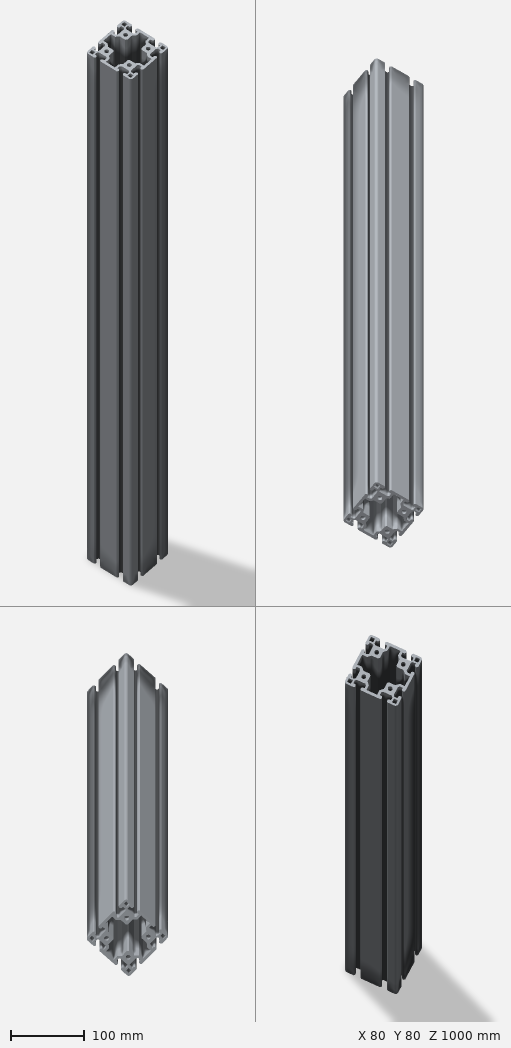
import cadquery as cq

width = 80.0
length = 1000.0
half = width / 2
corner_radius = 4.0

slot_offset = 20.0
slot_opening = 8.0
slot_inner_width = 17.0
slot_floor_chamfer = 2.0
lip_thickness = 5.0
slot_cavity_depth = 6.5
slot_depth = lip_thickness + slot_cavity_depth
lip_chamfer = 1.5

core_hole_diameter = 6.7
core_half_width = 7.5
core_inner_face = slot_offset - core_half_width
core_corner_chamfer = 2.0

wall_thickness = 4.0
channel_half_width = 8.0
corner_hollow_size = 6.0
corner_hollow_offset = 34.0


def turned(body, turn):
    """Body turned about the long axis by a number of quarter turns."""
    return body.rotate((0, 0, 0), (0, 0, 1), 90 * turn)


def prism(points):
    """Full-length bar with the given outline."""
    return cq.Workplane("XY").polyline(points).close().extrude(length)


def t_slot(x_center):
    """T-slot cutter opening on the +Y side, with bevelled lips and floor corners."""
    floor = half - slot_depth
    lip_underside = half - lip_thickness
    throat = slot_opening / 2
    inner = slot_inner_width / 2
    right_side = [
        (throat + lip_chamfer, half),
        (throat, half - lip_chamfer),
        (throat, lip_underside + lip_chamfer),
        (throat + lip_chamfer, lip_underside),
        (inner, lip_underside),
        (inner, floor + slot_floor_chamfer),
        (inner - slot_floor_chamfer, floor),
    ]
    left_side = [(-x, y) for x, y in reversed(right_side)]
    return prism([(x_center + x, y) for x, y in right_side + left_side])


def central_hollow():
    """Cross-shaped hollow reaching the four outer walls, waisted between the screw cores."""
    reach = half - wall_thickness
    core_shoulder = half - slot_depth - (core_inner_face - channel_half_width)
    quarter = prism(
        [
            (0, 0),
            (0, reach),
            (channel_half_width, reach),
            (channel_half_width, half - slot_depth),
            (core_inner_face, core_shoulder),
            (core_inner_face, core_inner_face + core_corner_chamfer),
            (core_inner_face + core_corner_chamfer, core_inner_face),
            (core_shoulder, core_inner_face),
            (half - slot_depth, channel_half_width),
            (reach, channel_half_width),
            (reach, 0),
        ]
    )
    hollow = quarter
    for turn in range(1, 4):
        hollow = hollow.union(turned(quarter, turn))
    return hollow


def at_corners(offset):
    """Workplane with one point in each quadrant, offset equally in X and Y."""
    return cq.Workplane("XY").rect(2 * offset, 2 * offset, forConstruction=True).vertices()


profile = cq.Workplane("XY").rect(width, width).extrude(length).edges("|Z").fillet(corner_radius)

for turn in range(4):
    for x_center in (-slot_offset, slot_offset):
        profile = profile.cut(turned(t_slot(x_center), turn))

core_holes = at_corners(slot_offset).circle(core_hole_diameter / 2).extrude(length)
corner_hollows = at_corners(corner_hollow_offset).rect(corner_hollow_size, corner_hollow_size).extrude(length)

result = profile.cut(central_hollow()).cut(core_holes).cut(corner_hollows)